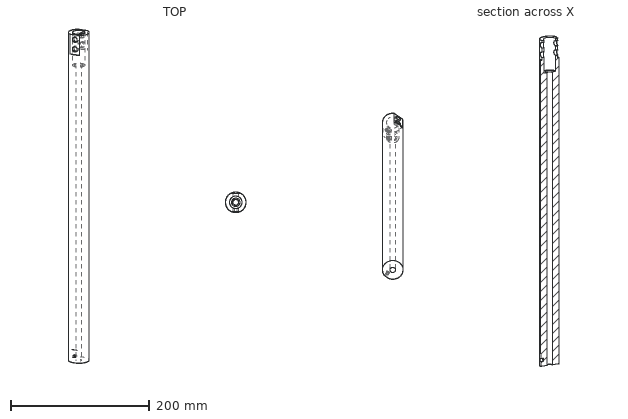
import cadquery as cq
import math

length = 500.0
outer_diameter = 30.0
outer_radius = outer_diameter / 2

socket_diameter = 18.0
socket_depth = 50.0
seat_diameter = 12.0
seat_depth = 1.5
passage_diameter = 8.0

clamp_flat_depth = 2.05
clamp_flat_distance = outer_radius - clamp_flat_depth
clamp_flat_height = 30.0
cross_hole_diameter = 8.0
cross_hole_pitch = 14.5
first_cross_hole_depth = 7.5
cross_hole_count = 2

foot_flat_width = 8.0
foot_flat_distance = math.sqrt(outer_radius**2 - (foot_flat_width / 2) ** 2)
foot_flat_height = 20.0
pin_hole_diameter = 4.0
pin_hole_depth = 4.0


def disc(diameter, bottom, top):
    """Vertical cylinder on the tube axis."""
    return cq.Workplane("XY").workplane(offset=bottom).circle(diameter / 2).extrude(top - bottom)


def bore_cutter():
    floor = length - socket_depth
    seat = (
        cq.Workplane("XY")
        .workplane(offset=floor - seat_depth)
        .circle(passage_diameter / 2)
        .workplane(offset=seat_depth)
        .circle(seat_diameter / 2)
        .loft(ruled=True)
    )
    passage = disc(passage_diameter, 0, floor)
    socket = disc(socket_diameter, floor, length)
    return passage.union(seat).union(socket)


def flat_cutter(side, distance, bottom, top):
    """Block removing everything beyond the distance from the axis, on the -Y (-1) or +Y (1) side."""
    thickness = outer_radius - distance
    center = (0, side * (distance + thickness / 2), (bottom + top) / 2)
    return cq.Workplane("XY").box(outer_diameter, thickness, top - bottom).translate(center)


def cross_hole_cutter(height):
    return (
        cq.Workplane("XZ")
        .center(0, height)
        .circle(cross_hole_diameter / 2)
        .extrude(outer_radius, both=True)
    )


def pin_hole_cutter():
    return (
        cq.Workplane("XZ", origin=(0, -foot_flat_distance, foot_flat_height / 2))
        .circle(pin_hole_diameter / 2)
        .extrude(-pin_hole_depth)
    )


result = disc(outer_diameter, 0, length).cut(bore_cutter())

for side in (-1, 1):
    result = result.cut(flat_cutter(side, clamp_flat_distance, length - clamp_flat_height, length))

for index in range(cross_hole_count):
    depth = first_cross_hole_depth + index * cross_hole_pitch
    result = result.cut(cross_hole_cutter(length - depth))

result = result.cut(flat_cutter(-1, foot_flat_distance, 0, foot_flat_height))
result = result.cut(pin_hole_cutter())